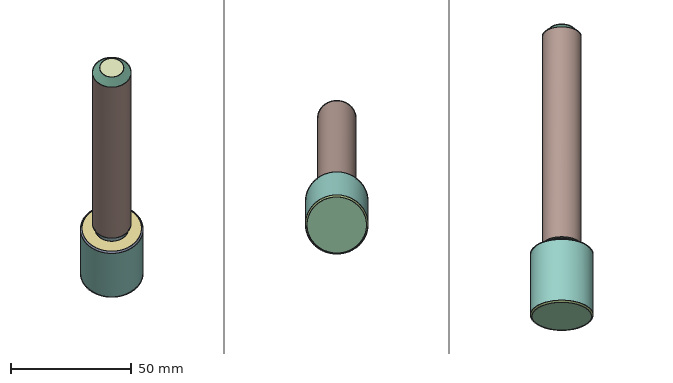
import cadquery as cq

total_length = 135.0
head_diameter = 26.0
head_height = 30.0
head_chamfer = 0.7

shank_diameter = 16.0
groove_diameter = 14.0
groove_width = 3.2

tip_diameter = 10.0
tip_height = 3.0

head_radius = head_diameter / 2
shank_radius = shank_diameter / 2
groove_radius = groove_diameter / 2
groove_top = head_height + groove_width


def make_head():
    """Cylindrical head with both rims chamfered."""
    head = cq.Workplane("XY").circle(head_radius).extrude(head_height)
    return head.faces("<Z or >Z").edges().chamfer(head_chamfer)


def make_shank():
    """Shank revolved about Z: relief groove, straight length and conical tip."""
    return (
        cq.Workplane("XZ")
        .moveTo(0, 0)
        .lineTo(groove_radius, 0)
        .lineTo(groove_radius, groove_top)
        .lineTo(shank_radius, groove_top)
        .lineTo(shank_radius, total_length - tip_height)
        .lineTo(tip_diameter / 2, total_length)
        .lineTo(0, total_length)
        .close()
        .revolve(360, (0, 0), (0, 1))
    )


result = make_head().union(make_shank())